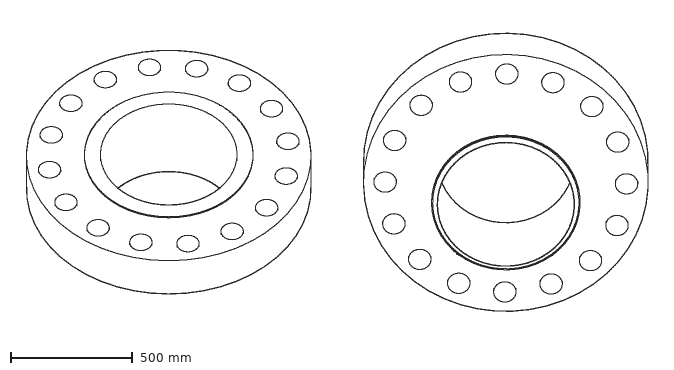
import cadquery as cq
import math


flange_diameter = 1168.4
flange_thickness = 203.2
raised_face_diameter = 692.15
raised_face_height = 6.35

overall_height = 412.75
hub_base_diameter = 762.0
hub_end_diameter = 609.6
hub_fillet_radius = 20.0
bore_diameter = 560.4

collar_height = 6.35
bevel_height = 14.0
bevel_angle = 37.5
root_face_width = 1.6

bolt_hole_count = 16
bolt_hole_diameter = 92.0
bolt_circle_diameter = 990.6

flange_radius = flange_diameter / 2
raised_face_radius = raised_face_diameter / 2
hub_base_radius = hub_base_diameter / 2
hub_end_radius = hub_end_diameter / 2
bore_radius = bore_diameter / 2
root_radius = bore_radius + root_face_width
bevel_top_radius = root_radius + bevel_height / math.tan(math.radians(bevel_angle))

disc_top = 0.0
disc_bottom = disc_top - flange_thickness
face_top = disc_top + raised_face_height
hub_bottom = face_top - overall_height
collar_bottom = hub_bottom + bevel_height
collar_top = collar_bottom + collar_height


def flange_body():
    """Revolve the radial section, bore included, about the Z axis."""
    section = [
        (-bore_radius, face_top),
        (-raised_face_radius, face_top),
        (-raised_face_radius, disc_top),
        (-flange_radius, disc_top),
        (-flange_radius, disc_bottom),
        (-hub_base_radius, disc_bottom),
        (-hub_end_radius, collar_top),
        (-hub_end_radius, collar_bottom),
        (-bevel_top_radius, collar_bottom),
        (-root_radius, hub_bottom),
        (-bore_radius, hub_bottom),
    ]
    return cq.Workplane("XZ").polyline(section).close().revolve(360, (0, 0), (0, 1))


def round_hub_base(body):
    """Fillet the circular corner where the hub meets the underside of the disc."""
    margin = 1.0
    reach = hub_base_radius + margin
    corner_zone = cq.selectors.BoxSelector(
        (-reach, -reach, disc_bottom - margin),
        (reach, reach, disc_bottom + margin),
        boundingbox=True,
    )
    return body.edges("%CIRCLE").edges(corner_zone).fillet(hub_fillet_radius)


def bolt_holes():
    """Cylinders through the disc, evenly spaced on the bolt circle."""
    return (
        cq.Workplane("XY", origin=(0, 0, disc_bottom))
        .polarArray(bolt_circle_diameter / 2, 0, 360, bolt_hole_count)
        .circle(bolt_hole_diameter / 2)
        .extrude(flange_thickness)
    )


result = round_hub_base(flange_body()).cut(bolt_holes())